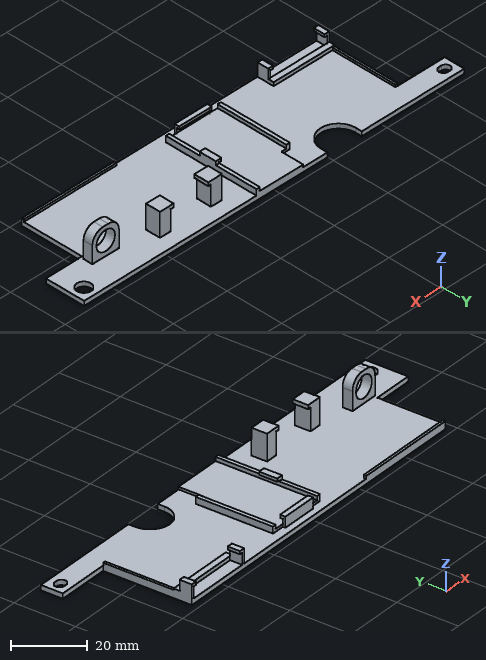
import cadquery as cq

length = 141.8
depth = 36.2
plate_thickness = 1.7
body_left = 17.6
body_right = 128.3
left_tab_front = 28.9
right_tab_front = 22.1

slot_x, slot_y = 3.7, 32.5
slot_length, slot_width = 4.0, 3.1
round_hole_x, round_hole_y = 137.5, 31.9
round_hole_diameter = 5.0
notch_x = 44.7
notch_width = 12.8
notch_depth = 8.6

lip_width = 0.9
lip_top = 2.5
front_lip_left = 93.7

bracket_right = 40.4
arm_thickness = 0.9
arm_depth = 4.0
arm_top = 6.4
arm_hook_reach = 1.0
arm_hook_height = 1.0
rail_back = 6.0
rail_top = 3.0

seat_left, seat_right = 57.0, 77.5
seat_front = 3.0
seat_top = 2.5
seat_wall_width = 1.3
seat_wall_top = 3.8
left_wall_back = 28.2
seat_rear_left = 60.1

snap_top = 5.1
snap_height = 1.0
snap_reach = 0.9
side_snap_front, side_snap_back = 15.3, 21.3
clip_left, clip_right = 61.3, 73.5
clip_thickness = 0.9

posts_left, posts_right = 85.2, 108.3
post_width = 4.1
post_front, post_back = 26.0, 31.0
post_top = 10.2
post_hook_reach = 1.0
post_hook_height = 1.3

lug_left = 119.0
lug_width = 9.9
lug_front, lug_back = 23.3, 26.5
lug_top = 11.8
lug_corner_radius = 4.0
lug_hole_diameter = 7.0
lug_hole_z = 6.8


def block(x0, x1, y0, y1, z0, z1):
    """Axis-aligned box between two opposite corners."""
    return cq.Workplane("XY").box(x1 - x0, y1 - y0, z1 - z0, centered=False).translate((x0, y0, z0))


def plate_block(x0, x1, y0, y1, top):
    """Box rising from the underside of the plate, so that it merges with the plate."""
    return block(x0, x1, y0, y1, 0, top)


def make_plate():
    outline = [
        (0, depth),
        (0, left_tab_front),
        (body_left, left_tab_front),
        (body_left, 0),
        (body_right, 0),
        (body_right, right_tab_front),
        (length, right_tab_front),
        (length, depth),
    ]
    plate = cq.Workplane("XY").polyline(outline).close().extrude(plate_thickness)

    slot = cq.Workplane("XY").center(slot_x, slot_y).slot2D(slot_length, slot_width).extrude(plate_thickness)
    hole = (
        cq.Workplane("XY")
        .center(round_hole_x, round_hole_y)
        .circle(round_hole_diameter / 2)
        .extrude(plate_thickness)
    )

    notch_radius = notch_width / 2
    notch_arc_y = depth - notch_depth + notch_radius
    notch = (
        cq.Workplane("XY")
        .moveTo(notch_x - notch_radius, depth)
        .lineTo(notch_x - notch_radius, notch_arc_y)
        .threePointArc((notch_x, depth - notch_depth), (notch_x + notch_radius, notch_arc_y))
        .lineTo(notch_x + notch_radius, depth)
        .close()
        .extrude(plate_thickness)
    )
    return plate.cut(slot).cut(hole).cut(notch)


def make_lips():
    left_lip = plate_block(body_left, body_left + lip_width, 0, left_tab_front, lip_top)
    front_lip = plate_block(front_lip_left, body_right, 0, lip_width, lip_top)
    return left_lip.union(front_lip)


def make_hooked_pair(x0, x1, y0, y1, top, thickness, reach, hook_height):
    """Two uprights whose outer faces are at x0 and x1, with hooks pointing at each other."""
    hook_bottom = top - hook_height
    return (
        plate_block(x0, x0 + thickness, y0, y1, top)
        .union(block(x0, x0 + thickness + reach, y0, y1, hook_bottom, top))
        .union(plate_block(x1 - thickness, x1, y0, y1, top))
        .union(block(x1 - thickness - reach, x1, y0, y1, hook_bottom, top))
    )


def make_bracket():
    arms = make_hooked_pair(
        body_left, bracket_right, 0, arm_depth, arm_top, arm_thickness, arm_hook_reach, arm_hook_height
    )
    rail = plate_block(body_left, bracket_right, arm_depth, rail_back, rail_top)
    return arms.union(rail)


def make_seat():
    snap_bottom = snap_top - snap_height
    right_wall_left = seat_right - seat_wall_width
    clip_front = seat_front - clip_thickness

    floor = plate_block(seat_left, seat_right, seat_front, left_wall_back, seat_top)
    rear_floor = plate_block(seat_rear_left, seat_right, left_wall_back, depth, seat_top)
    left_wall = plate_block(
        seat_left, seat_left + seat_wall_width, seat_front, left_wall_back, seat_wall_top
    )
    right_wall = plate_block(right_wall_left, seat_right, seat_front, depth, seat_wall_top)

    side_snap_post = plate_block(right_wall_left, seat_right, side_snap_front, side_snap_back, snap_top)
    side_snap = block(
        right_wall_left - snap_reach, seat_right, side_snap_front, side_snap_back, snap_bottom, snap_top
    )
    clip_wall = plate_block(clip_left, clip_right, clip_front, seat_front, snap_top)
    clip_snap = block(clip_left, clip_right, clip_front, seat_front + snap_reach, snap_bottom, snap_top)

    seat = floor
    for piece in (rear_floor, left_wall, right_wall, side_snap_post, side_snap, clip_wall, clip_snap):
        seat = seat.union(piece)
    return seat


def make_posts():
    return make_hooked_pair(
        posts_left, posts_right, post_front, post_back, post_top,
        post_width, post_hook_reach, post_hook_height,
    )


def make_lug():
    lug_right = lug_left + lug_width
    lug = plate_block(lug_left, lug_right, lug_front, lug_back, lug_top)
    lug = lug.edges("|Y and >Z").fillet(lug_corner_radius)
    hole = (
        cq.Workplane("XZ", origin=(lug_left + lug_width / 2, lug_back, lug_hole_z))
        .circle(lug_hole_diameter / 2)
        .extrude(lug_back - lug_front)
    )
    return lug.cut(hole)


result = make_plate()
for feature in (make_lips(), make_bracket(), make_seat(), make_posts(), make_lug()):
    result = result.union(feature)